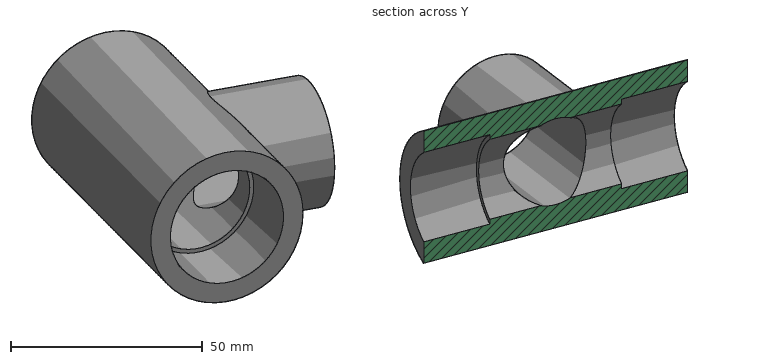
import cadquery as cq

run_length = 80.0
run_diameter = 43.0
socket_diameter = 32.0
socket_depth = 20.0
bore_diameter = 29.8

branch_reach = 40.0
branch_diameter = 35.0
branch_bore_diameter = 25.0


def run_cylinder(diameter, start, length):
    """Cylinder along +X, on the run axis, beginning at x = start."""
    return cq.Workplane("YZ", origin=(start, 0, 0)).circle(diameter / 2).extrude(length)


def branch_cylinder(diameter):
    """Cylinder along +Y from the run axis to the branch mouth."""
    return cq.Workplane("XZ").circle(diameter / 2).extrude(-branch_reach)


run_start = -run_length / 2
body = run_cylinder(run_diameter, run_start, run_length)
body = body.union(branch_cylinder(branch_diameter))

body = body.cut(run_cylinder(bore_diameter, run_start, run_length))
body = body.cut(branch_cylinder(branch_bore_diameter))

for socket_start in (run_start, run_length / 2 - socket_depth):
    body = body.cut(run_cylinder(socket_diameter, socket_start, socket_depth))

result = body